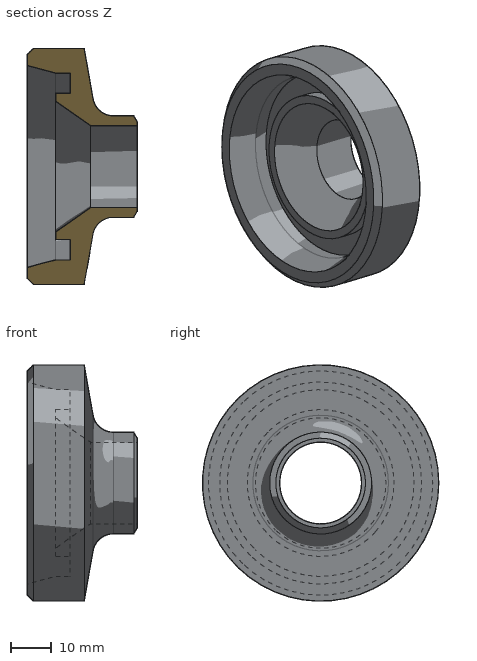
import cadquery as cq
import math

LENGTH = 27.0
RIM_RADIUS = 58.0 / 2
RIM_LENGTH = 14.0
RIM_CHAMFER = 1.5

BACK_SLOPE = math.radians(10.0)
NECK_RADIUS = 25.0 / 2
NECK_FILLET = 5.0
NECK_CHAMFER_DEPTH = 1.5
NECK_CHAMFER_ANGLE = math.radians(30.0)

RECESS_RADIUS = 45.8 / 2
RECESS_TAPER = math.radians(15.0)
TAPER_DEPTH = 7.0
RECESS_DEPTH = 10.5
RING_RADIUS = 36.0 / 2

RING_FACE_X = TAPER_DEPTH
FUNNEL_RADIUS = 32.0 / 2
FUNNEL_HALF_ANGLE = math.radians(35.0)
BORE_RADIUS = 20.0 / 2


def outer_body():
    """Rim, sloped back, filleted neck and neck chamfer as one solid of revolution."""
    center_r = NECK_RADIUS + NECK_FILLET
    fillet_start_r = center_r - NECK_FILLET * math.sin(BACK_SLOPE)
    fillet_start_x = RIM_LENGTH + (RIM_RADIUS - fillet_start_r) * math.tan(BACK_SLOPE)
    center_x = fillet_start_x + NECK_FILLET * math.cos(BACK_SLOPE)
    mid_angle = (math.pi / 2 + BACK_SLOPE) / 2
    fillet_mid = (
        center_x - NECK_FILLET * math.cos(mid_angle),
        center_r - NECK_FILLET * math.sin(mid_angle),
    )
    neck_chamfer_length = NECK_CHAMFER_DEPTH * math.tan(NECK_CHAMFER_ANGLE)
    return (
        cq.Workplane("XY")
        .moveTo(0, 0)
        .lineTo(0, RIM_RADIUS - RIM_CHAMFER)
        .lineTo(RIM_CHAMFER, RIM_RADIUS)
        .lineTo(RIM_LENGTH, RIM_RADIUS)
        .lineTo(fillet_start_x, fillet_start_r)
        .threePointArc(fillet_mid, (center_x, NECK_RADIUS))
        .lineTo(LENGTH - neck_chamfer_length, NECK_RADIUS)
        .lineTo(LENGTH, NECK_RADIUS - NECK_CHAMFER_DEPTH)
        .lineTo(LENGTH, 0)
        .close()
        .revolve(360, (0, 0), (1, 0))
    )


def front_cavity():
    """Tapered recess, seat ring step, conical funnel and bore as one cutter."""
    mouth_radius = RECESS_RADIUS + TAPER_DEPTH * math.tan(RECESS_TAPER)
    funnel_end_x = RING_FACE_X + (FUNNEL_RADIUS - BORE_RADIUS) / math.tan(FUNNEL_HALF_ANGLE)
    return (
        cq.Workplane("XY")
        .moveTo(0, 0)
        .lineTo(0, mouth_radius)
        .lineTo(TAPER_DEPTH, RECESS_RADIUS)
        .lineTo(RECESS_DEPTH, RECESS_RADIUS)
        .lineTo(RECESS_DEPTH, RING_RADIUS)
        .lineTo(RING_FACE_X, RING_RADIUS)
        .lineTo(RING_FACE_X, FUNNEL_RADIUS)
        .lineTo(funnel_end_x, BORE_RADIUS)
        .lineTo(LENGTH, BORE_RADIUS)
        .lineTo(LENGTH, 0)
        .close()
        .revolve(360, (0, 0), (1, 0))
    )


result = outer_body().cut(front_cavity())